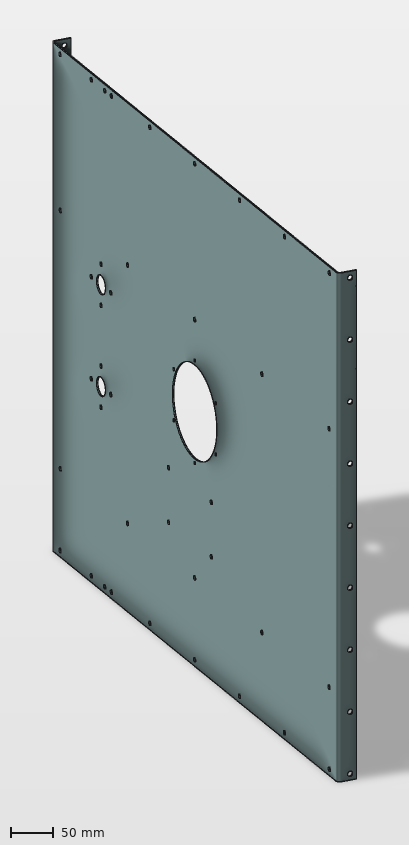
import cadquery as cq
import math

width = 775.0
depth = 25.0
height = 650.0
sheet = 2.0
bend_radius = 4.95

fixing_diameter = 5.5
flange_hole_diameter = 6.6
flange_hole_inset = 8.5
edge_row_z = 317.0
edge_end_x = 364.0
edge_steps = 3
edge_pitch = edge_end_x / edge_steps
edge_left_xs = [-280.0, -243.0, -225.5]
flange_hole_count = 9

face_row_zs = [118.0, -212.0]
face_hole_count = 5
face_end_x = 363.5
face_pitch = 2 * face_end_x / (face_hole_count - 1)

opening_diameter = 120.0
opening_screw_diameter = 4.0
opening_screw_circle = 131.0
opening_screw_count = 6

port_diameter = 24.0
port_x = -253.5
port_z = 65.0
port_screw_circle = 53.0
port_screw_count = 4

bracket_xs = [-70.5, 45.0]
bracket_zs = [-98.5, -168.0]

front_y = -depth / 2
back_y = depth / 2


def bent_sheet():
    """U-shaped sheet section, extruded over the full height."""
    outer = (
        cq.Workplane("XY")
        .workplane(offset=-height / 2)
        .rect(width, depth)
        .extrude(height)
        .edges("|Z and <Y")
        .fillet(bend_radius)
    )
    inner = (
        cq.Workplane("XY")
        .workplane(offset=-height / 2)
        .center(0, sheet)
        .rect(width - 2 * sheet, depth)
        .extrude(height)
        .edges("|Z and <Y")
        .fillet(bend_radius - sheet)
    )
    return outer.cut(inner)


def face_cut(points, diameter):
    """Cylinders through the main face at the given (x, z) points."""
    return (
        cq.Workplane("XZ", origin=(0, front_y + 2 * sheet, 0))
        .pushPoints(points)
        .circle(diameter / 2)
        .extrude(3 * sheet)
    )


def ring(x, z, circle_diameter, count):
    """Points evenly spaced on a circle, the first one straight above the centre."""
    radius = circle_diameter / 2
    angles = [math.pi / 2 + 2 * math.pi * i / count for i in range(count)]
    return [(x + radius * math.cos(a), z + radius * math.sin(a)) for a in angles]


def flange_cut():
    """Row of fixing holes through both side flanges."""
    pitch = 2 * edge_row_z / (flange_hole_count - 1)
    hole_y = back_y - flange_hole_inset
    points = [(hole_y, -edge_row_z + i * pitch) for i in range(flange_hole_count)]
    return (
        cq.Workplane("YZ", origin=(-width, 0, 0))
        .pushPoints(points)
        .circle(flange_hole_diameter / 2)
        .extrude(2 * width)
    )


edge_xs = [-edge_end_x, *edge_left_xs] + [i * edge_pitch for i in range(-1, edge_steps + 1)]
fixings = [(x, z) for x in edge_xs for z in (edge_row_z, -edge_row_z)]

face_xs = [-face_end_x + i * face_pitch for i in range(face_hole_count)]
fixings += [(x, z) for x in face_xs for z in face_row_zs]
fixings += [(x, z) for x in bracket_xs for z in bracket_zs]

ports = [(port_x, port_z), (port_x, -port_z)]
for x, z in ports:
    fixings += ring(x, z, port_screw_circle, port_screw_count)

opening_screws = ring(0, 0, opening_screw_circle, opening_screw_count)

result = (
    bent_sheet()
    .cut(face_cut(fixings, fixing_diameter))
    .cut(face_cut(ports, port_diameter))
    .cut(face_cut([(0, 0)], opening_diameter))
    .cut(face_cut(opening_screws, opening_screw_diameter))
    .cut(flange_cut())
)